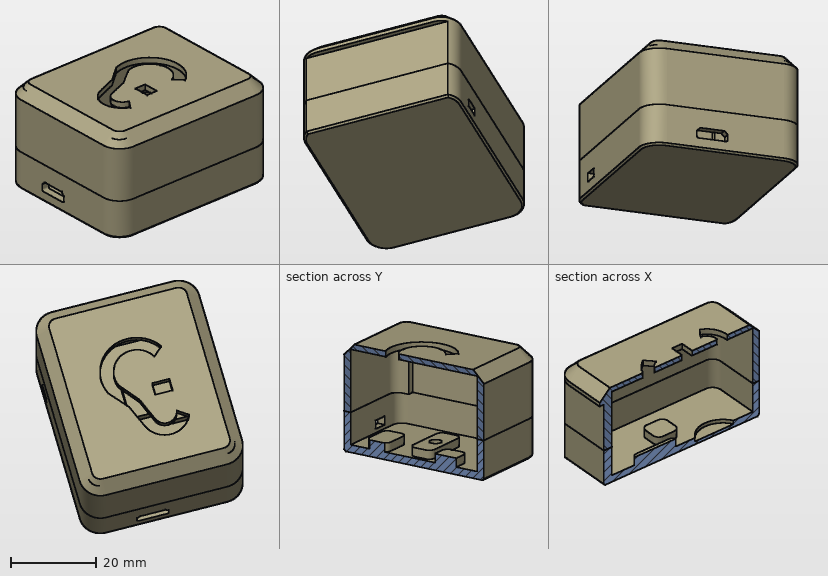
import cadquery as cq
import math

width = 39.4
length = 47.95
height = 26.93
corner_radius = 5.0
split_height = 10.0
foot_chamfer = 0.5
top_chamfer = 3.0

lip_overhang = 1.15
lip_thickness = 1.1
lip_bottom = height - top_chamfer - lip_thickness
back_face = length / 2 - lip_overhang

wall = 2.0
back_wall = 2.6
roof = 1.5
floor = 2.0
cavity_radius = 2.5
cavity_width = width - 2 * wall
cavity_front = -length / 2 + wall
cavity_back = back_face - back_wall

corner_pad_depth = 1.8
rear_bay_width = 27.5

front_slot_size = (7.75, 2.6)
front_slot_center = -3.3
front_slot_bottom = 2.75
front_slot_bevel = 0.85
front_slot_radius = 0.5
side_slot_size = (3.75, 2.1)
side_slot_center = 12.4
side_slot_bottom = 2.95

block_top = 4.2
block_radius = 1.65
drilled_block = (-1.9, 4.2, 0.9, 13.85)
plain_blocks = [
    (-13.4, -7.35, -0.2, 8.0),
    (5.95, 12.0, -2.1, 4.5),
]
block_hole_diameter = 3.0

recess_diameter = 13.3
recess_center = (0, -10.4)
recess_depth = 1.0

upper_center = (0, 3.05)
upper_outer_radius = 8.5
upper_inner_radius = 5.35
upper_middle_angle = 115
upper_neck_angle = 205
upper_outer_tip = (7.4, 7.7)
upper_inner_tip = (5.15, 5.6)
lower_center = (3.73, -8.55)
lower_outer_radius = 5.8
lower_inner_radius = 2.8
lower_neck_angle = 200
lower_middle_angle = 270
lower_outer_tip = (9.1, -10.7)
lower_inner_tip = (6.55, -8.9)
outer_bend = (-3.94, -5.1)
inner_bend = (-1.1, -4.0)

window_size = (4.2, 3.0)
window_center = (4.95, -2.25)


def polar(center, radius, angle):
    """Point at an angle in degrees on a circle."""
    turn = math.radians(angle)
    return (center[0] + radius * math.cos(turn), center[1] + radius * math.sin(turn))


def upright_box(size_x, front, back, bottom, top):
    """Plain box centred on X."""
    box = cq.Workplane("XY").box(size_x, back - front, top - bottom, centered=(True, False, False))
    return box.translate((0, front, bottom))


def case_block(bottom, top):
    return upright_box(width, -length / 2, length / 2, bottom, top).edges("|Z").fillet(corner_radius)


def cavity(back, bottom, top):
    return upright_box(cavity_width, cavity_front, back, bottom, top).edges("|Z").fillet(cavity_radius)


def lid_cavity():
    ceiling = height - roof
    main = cavity(cavity_back - corner_pad_depth, split_height, ceiling)
    rear_bay = upright_box(rear_bay_width, 0, cavity_back, split_height, ceiling)
    return main.union(rear_bay)


def back_relief(top):
    """Everything behind the flat back face, from the bottom up to a height."""
    return upright_box(width, back_face, length / 2, 0, top)


def ear_cutter():
    return (
        cq.Workplane("XY", origin=(0, 0, height - roof))
        .moveTo(*upper_outer_tip)
        .threePointArc(
            polar(upper_center, upper_outer_radius, upper_middle_angle),
            polar(upper_center, upper_outer_radius, upper_neck_angle),
        )
        .lineTo(*outer_bend)
        .lineTo(*polar(lower_center, lower_outer_radius, lower_neck_angle))
        .threePointArc(
            polar(lower_center, lower_outer_radius, lower_middle_angle),
            lower_outer_tip,
        )
        .lineTo(*lower_inner_tip)
        .threePointArc(
            polar(lower_center, lower_inner_radius, lower_middle_angle),
            polar(lower_center, lower_inner_radius, lower_neck_angle),
        )
        .lineTo(*inner_bend)
        .lineTo(*polar(upper_center, upper_inner_radius, upper_neck_angle))
        .threePointArc(
            polar(upper_center, upper_inner_radius, upper_middle_angle),
            upper_inner_tip,
        )
        .close()
        .extrude(roof)
    )


def window_cutter():
    return (
        cq.Workplane("XY", origin=(*window_center, height - roof))
        .rect(*window_size)
        .extrude(roof)
    )


def front_slot_cutter():
    slot_width, slot_height = front_slot_size
    slot = cq.Workplane("XY").box(slot_width, wall, slot_height, centered=(True, False, False))
    slot = slot.edges("|Y and >Z").chamfer(front_slot_bevel)
    slot = slot.edges("|Y and <Z").fillet(front_slot_radius)
    return slot.translate((front_slot_center, -length / 2, front_slot_bottom))


def side_slot_cutter():
    slot_width, slot_height = side_slot_size
    slot = cq.Workplane("XY").box(wall, slot_width, slot_height, centered=(False, True, False))
    return slot.translate((-width / 2, side_slot_center, side_slot_bottom))


def floor_block(x_min, x_max, y_min, y_max):
    block = cq.Workplane("XY").box(x_max - x_min, y_max - y_min, block_top - floor, centered=False)
    return block.edges("|Z").fillet(block_radius).translate((x_min, y_min, floor))


def drilled_floor_block():
    block = floor_block(*drilled_block)
    return block.faces(">Z").workplane(centerOption="CenterOfMass").hole(block_hole_diameter)


def recess_cutter():
    return (
        cq.Workplane("XY", origin=(*recess_center, floor - recess_depth))
        .circle(recess_diameter / 2)
        .extrude(recess_depth)
    )


def make_base():
    base = case_block(0, split_height)
    base = base.cut(back_relief(split_height))
    base = base.faces("<Z").edges().chamfer(foot_chamfer)
    base = base.cut(cavity(cavity_back, floor, split_height))
    base = base.cut(front_slot_cutter()).cut(side_slot_cutter())
    base = base.union(drilled_floor_block())
    for block in plain_blocks:
        base = base.union(floor_block(*block))
    return base.cut(recess_cutter())


def make_lid():
    lid = case_block(split_height, height)
    lid = lid.faces(">Z").edges().chamfer(top_chamfer)
    lid = lid.cut(back_relief(lip_bottom))
    lid = lid.cut(lid_cavity())
    return lid.cut(ear_cutter()).cut(window_cutter())


base = make_base()
lid = make_lid()

result = cq.Compound.makeCompound([base.val(), lid.val()])